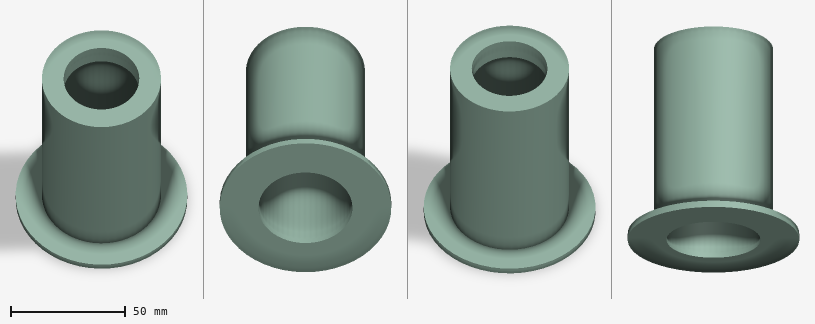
import cadquery as cq

total_height = 90.0
flange_diameter = 75.0
flange_thickness = 3.0
barrel_diameter = 52.0
bore_diameter = 41.0
mouth_diameter = 33.0
lip_height = 10.0

barrel_height = total_height - flange_thickness
bore_height = barrel_height - lip_height


def make_flange():
    """Flat ring at the base, with a central hole that continues the barrel bore."""
    return (
        cq.Workplane("XY")
        .circle(flange_diameter / 2)
        .circle(bore_diameter / 2)
        .extrude(flange_thickness)
    )


def make_barrel():
    """Tube standing on the flange, narrowed at the top by an inward lip."""
    wall = (
        cq.Workplane("XY", origin=(0, 0, flange_thickness))
        .circle(barrel_diameter / 2)
        .circle(bore_diameter / 2)
        .extrude(bore_height)
    )
    lip = (
        cq.Workplane("XY", origin=(0, 0, flange_thickness + bore_height))
        .circle(barrel_diameter / 2)
        .circle(mouth_diameter / 2)
        .extrude(lip_height)
    )
    return wall.union(lip, clean=True)


flange = make_flange()
barrel = make_barrel()

result = cq.Compound.makeCompound([flange.val(), barrel.val()])